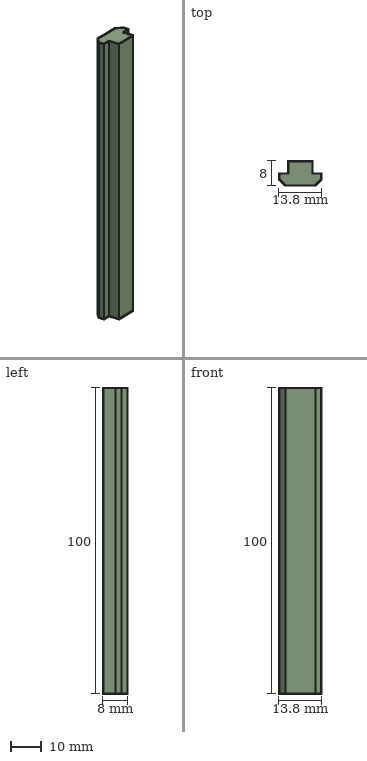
import cadquery as cq

length = 100.0
base_width = 13.8
base_thickness = 4.0
rib_width = 8.0
total_depth = 8.0
chamfer = 2.0

half_base = base_width / 2
half_rib = rib_width / 2
front_y = -total_depth / 2
back_y = total_depth / 2
shoulder_y = front_y + base_thickness

profile = [
    (-half_base + chamfer, front_y),
    (half_base - chamfer, front_y),
    (half_base, front_y + chamfer),
    (half_base, shoulder_y),
    (half_rib, shoulder_y),
    (half_rib, back_y),
    (-half_rib, back_y),
    (-half_rib, shoulder_y),
    (-half_base, shoulder_y),
    (-half_base, front_y + chamfer),
]

result = cq.Workplane("XY").polyline(profile).close().extrude(length)